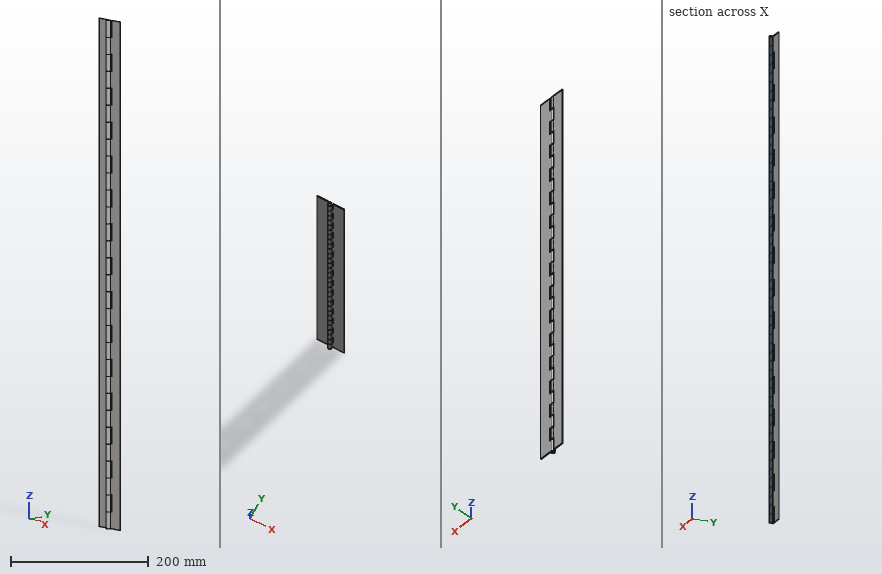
import cadquery as cq

HINGE_LENGTH = 750
HINGE_WIDTH = 45
BARREL_DIAMETER = 6.7

LEAF_THICKNESS = 1.6
KNUCKLE_COUNT = 30
NOTCH_CLEARANCE = 1.0

PIN_DIAMETER = BARREL_DIAMETER - 2 * LEAF_THICKNESS
BARREL_RADIUS = BARREL_DIAMETER / 2
KNUCKLE_LENGTH = HINGE_LENGTH / KNUCKLE_COUNT
NOTCH_EDGE = BARREL_RADIUS + NOTCH_CLEARANCE


def make_sheet(x_start, x_end, z_start, length):
    """Flat piece of leaf whose rear (+Y) face is tangent to the barrel."""
    corner = (x_start, BARREL_RADIUS - LEAF_THICKNESS, z_start)
    return cq.Workplane("XY", origin=corner).box(
        x_end - x_start, LEAF_THICKNESS, length, centered=False
    )


def make_rod(diameter, z_start, length):
    """Upright cylinder on the hinge axis."""
    return cq.Workplane("XY", origin=(0, 0, z_start)).circle(diameter / 2).extrude(length)


def make_leaf(first_knuckle):
    """Leaf on the -X side, carrying every second knuckle counted from the bottom."""
    leaf = make_sheet(-HINGE_WIDTH / 2, -NOTCH_EDGE, 0, HINGE_LENGTH)
    for index in range(first_knuckle, KNUCKLE_COUNT, 2):
        z_start = index * KNUCKLE_LENGTH
        tongue = make_sheet(-NOTCH_EDGE, 0, z_start, KNUCKLE_LENGTH)
        knuckle = make_rod(BARREL_DIAMETER, z_start, KNUCKLE_LENGTH)
        leaf = leaf.union(tongue).union(knuckle)
    pin_hole = make_rod(PIN_DIAMETER, 0, HINGE_LENGTH)
    return leaf.cut(pin_hole)


left_leaf = make_leaf(first_knuckle=1)
right_leaf = make_leaf(first_knuckle=0).mirror("YZ")

pin = make_rod(PIN_DIAMETER, 0, HINGE_LENGTH)

result = cq.Compound.makeCompound([left_leaf.val(), right_leaf.val(), pin.val()])